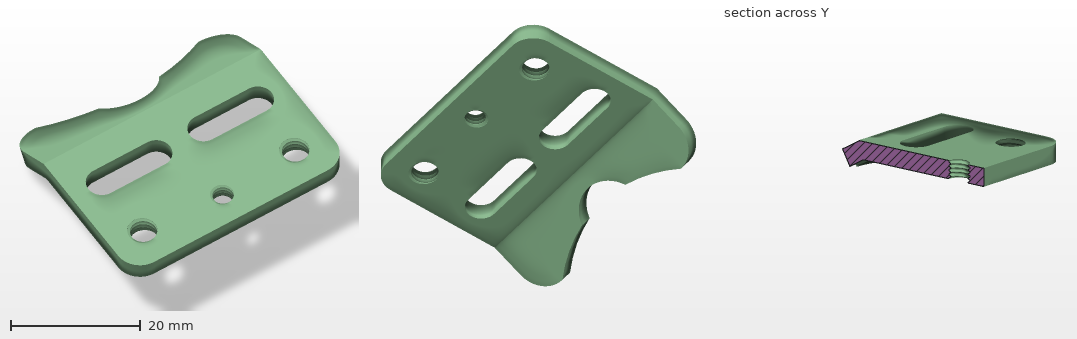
import cadquery as cq
import math

width = 40.0
thickness = 3.0
flat_length = 25.0
wing_drop_angle = 30.0
wing_run = 10.0
wing_length = wing_run / math.cos(math.radians(wing_drop_angle))
flat_corner_radius = 4.0
wing_corner_radius = 5.0

hollow_radius = 26.7
hollow_bottom = 6.9
notch_radius = 6.0
notch_bottom = 3.9

slot_width = 5.0
slot_length = 15.0
slot_x = 7.8
slot_y = 9.35

large_hole_x = 19.0
large_hole_y = 14.0
large_minor_diameter = 4.25
large_major_diameter = 5.1
large_pitch = 0.8
small_hole_x = 20.0
small_minor_diameter = 3.3
small_major_diameter = 4.1
small_pitch = 0.7
groove_opening_ratio = 0.87
thread_half_angle = 30.0
thread_start_angle = -90.0
groove_overlap = 0.05
cut_tolerance = 0.001


def flat_plate():
    """Level plate with two rounded corners at its free end."""
    plate = cq.Workplane("XY").box(flat_length, width, thickness, centered=(False, True, False))
    plate = plate.translate((0, 0, -thickness))
    return plate.edges("|Z and >X").fillet(flat_corner_radius)


def wing():
    """Sloping plate, shaped while level and then turned about the bend line."""
    plate = cq.Workplane("XY").box(wing_length, width, thickness, centered=(False, True, False))
    plate = plate.translate((-wing_length, 0, -thickness))
    plate = plate.edges("|Z and <X").fillet(wing_corner_radius)
    for radius, bottom in ((hollow_radius, hollow_bottom), (notch_radius, notch_bottom)):
        cutter = cq.Workplane("XY").center(-bottom - radius, 0).circle(radius).extrude(-thickness)
        plate = plate.cut(cutter)
    return plate.rotate((0, 0, 0), (0, 1, 0), -wing_drop_angle)


def thread_groove(minor_diameter, major_diameter, pitch):
    """Helical groove around the Z axis, running past both faces of the plate."""
    minor_radius = minor_diameter / 2
    major_radius = major_diameter / 2
    flank_slope = math.tan(math.radians(thread_half_angle))
    opening = groove_opening_ratio * pitch / 2
    root = opening - (major_radius - minor_radius) * flank_slope
    inner_radius = minor_radius - groove_overlap
    bottom = -thickness - pitch
    helix = cq.Wire.makeHelix(pitch, thickness + 2 * pitch, minor_radius)
    profile = cq.Workplane("XZ").polyline([
        (inner_radius, -opening),
        (minor_radius, -opening),
        (major_radius, -root),
        (major_radius, root),
        (minor_radius, opening),
        (inner_radius, opening),
    ]).close()
    groove = profile.sweep(cq.Workplane(obj=helix), isFrenet=True).translate((0, 0, bottom))
    face_angle = 360 * -bottom / pitch
    return groove.rotate((0, 0, 0), (0, 0, 1), thread_start_angle - face_angle)


def cut_threaded_hole(body, x, y, minor_diameter, major_diameter, pitch):
    bore = cq.Workplane("XY").center(x, y).circle(minor_diameter / 2).extrude(-thickness)
    groove = thread_groove(minor_diameter, major_diameter, pitch).translate((x, y, 0))
    return body.cut(bore).cut(groove, tol=cut_tolerance)


result = flat_plate().union(wing())

for side in (-1, 1):
    slot = cq.Workplane("XY").center(slot_x, side * slot_y).slot2D(slot_length, slot_width, 90)
    result = result.cut(slot.extrude(-thickness))
    result = cut_threaded_hole(
        result, large_hole_x, side * large_hole_y,
        large_minor_diameter, large_major_diameter, large_pitch,
    )

result = cut_threaded_hole(
    result, small_hole_x, 0,
    small_minor_diameter, small_major_diameter, small_pitch,
)